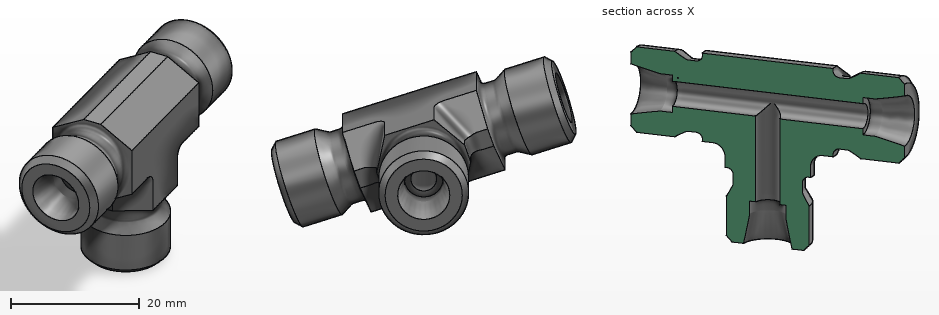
import cadquery as cq
import math

across_flats = 14.0
corner_flat_width = 3.0
body_reach = 11.0
port_reach = 23.0
inner_corner_radius = 2.0

thread_diameter = 14.0
thread_chamfer = 1.0
neck_diameter = 11.7
neck_length = 2.6
neck_radius = 1.0
thread_cone_angle = 30.0

bore_diameter = 4.0
socket_diameter = 6.0
socket_depth = 7.0
seat_mouth_diameter = 8.1
seat_half_angle = 12.0

mitre_tolerance = 1e-4

half_flats = across_flats / 2
corner_half_flat = corner_flat_width / 2
hex_slope = math.tan(math.radians(30))
side_corner = half_flats * hex_slope
hexagon_corner = 2 * side_corner
body_height = hexagon_corner - corner_half_flat * hex_slope
thread_radius = thread_diameter / 2
neck_wall = neck_diameter / 2


def hexagon(workplane):
    """Hexagon with flats at both X sides and corners above and below."""
    outline = [
        (half_flats, side_corner),
        (0, hexagon_corner),
        (-half_flats, side_corner),
        (-half_flats, -side_corner),
        (0, -hexagon_corner),
        (half_flats, -side_corner),
    ]
    return workplane.polyline(outline).close()


def rectangle(workplane):
    """Rectangle whose upper and lower sides are the flats that truncate the hexagon corners."""
    return workplane.rect(across_flats, 2 * body_height)


def is_inner_edge(edge):
    """True for edges on the mitre planes |y| = -z, where run and branch faces meet."""
    centre = edge.Center()
    return math.isclose(abs(centre.y), -centre.z, abs_tol=mitre_tolerance)


def blended_tee(section):
    """Run and branch bars of one section, blended where their faces meet below the run."""
    run = section(cq.Workplane("XZ", origin=(0, body_reach, 0))).extrude(2 * body_reach)
    branch = section(cq.Workplane("XY")).extrude(-body_reach)
    tee = run.union(branch)
    inner_edges = [edge for edge in tee.edges().vals() if is_inner_edge(edge)]
    return tee.newObject(inner_edges).fillet(inner_corner_radius)


def tee_body():
    """Hexagonal tee with its corners truncated to narrow flats by a rectangular tee."""
    return blended_tee(hexagon).intersect(blended_tee(rectangle))


def port_along_z():
    """Threaded stub pointing up +Z: blended neck, cone, thread cylinder and end chamfer."""
    cone_angle = math.radians(thread_cone_angle)
    neck_corner = body_reach + neck_length
    thread_start = neck_corner + (thread_radius - neck_wall) / math.tan(cone_angle)
    tangent_length = neck_radius * math.tan(cone_angle / 2)
    root_end = body_reach + neck_radius
    blend_start = neck_corner - tangent_length
    blend_axis = neck_wall + neck_radius

    def on_blend(centre_height, angle):
        """Point on a neck blend, at an angle measured from the neck wall toward the port end."""
        return (
            blend_axis - neck_radius * math.cos(angle),
            centre_height + neck_radius * math.sin(angle),
        )

    return (
        cq.Workplane("XZ")
        .moveTo(0, body_reach)
        .lineTo(blend_axis, body_reach)
        .threePointArc(on_blend(root_end, -math.pi / 4), (neck_wall, root_end))
        .lineTo(neck_wall, blend_start)
        .threePointArc(on_blend(blend_start, cone_angle / 2), on_blend(blend_start, cone_angle))
        .lineTo(thread_radius, thread_start)
        .lineTo(thread_radius, port_reach - thread_chamfer)
        .lineTo(thread_radius - thread_chamfer, port_reach)
        .lineTo(0, port_reach)
        .close()
        .revolve(360, (0, 0, 0), (0, 1, 0))
    )


def bore_along_z():
    """Bore from the centre up +Z, opening into a tube socket and a conical seat."""
    bore_radius = bore_diameter / 2
    socket_radius = socket_diameter / 2
    mouth_radius = seat_mouth_diameter / 2
    seat_depth = (mouth_radius - socket_radius) / math.tan(math.radians(seat_half_angle))
    outline = [
        (0, 0),
        (bore_radius, 0),
        (bore_radius, port_reach - socket_depth),
        (socket_radius, port_reach - socket_depth),
        (socket_radius, port_reach - seat_depth),
        (mouth_radius, port_reach),
        (0, port_reach),
    ]
    return cq.Workplane("XZ").polyline(outline).close().revolve(360, (0, 0, 0), (0, 1, 0))


def turn_about_x(shape, angle):
    """Turn a shape about the X axis through the centre of the tee."""
    return shape.rotate((0, 0, 0), (1, 0, 0), angle)


arm_angles = (90, 180, 270)
result = tee_body()
for arm_angle in arm_angles:
    result = result.union(turn_about_x(port_along_z(), arm_angle))
for arm_angle in arm_angles:
    result = result.cut(turn_about_x(bore_along_z(), arm_angle))